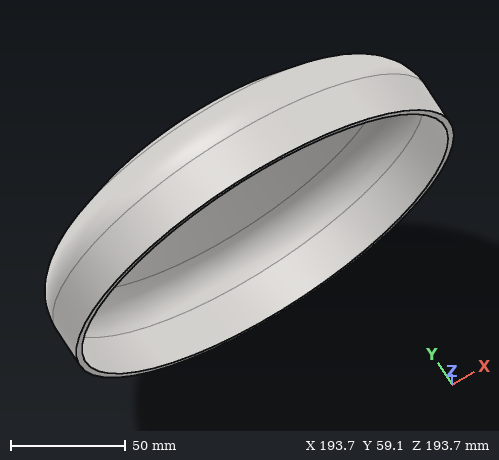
import cadquery as cq
import math

outer_diameter = 193.7
inner_diameter = 187.7
skirt_length = 20.0
crown_inner_radius = 193.7
knuckle_inner_radius = 19.4
rim_y = 0.0

wall = (outer_diameter - inner_diameter) / 2
knuckle_y = rim_y + skirt_length

knuckle_center_x = inner_diameter / 2 - knuckle_inner_radius
tangent_angle = math.asin(knuckle_center_x / (crown_inner_radius - knuckle_inner_radius))
crown_center_y = knuckle_y - knuckle_center_x / math.tan(tangent_angle)


def knuckle_point(radius, angle):
    """Point on a knuckle arc, with the angle measured from the part axis."""
    return (knuckle_center_x + radius * math.sin(angle), knuckle_y + radius * math.cos(angle))


def crown_point(radius, angle):
    """Point on a crown arc, with the angle measured from the part axis."""
    return (radius * math.sin(angle), crown_center_y + radius * math.cos(angle))


knuckle_mid_angle = (math.pi / 2 + tangent_angle) / 2
crown_mid_angle = tangent_angle / 2
knuckle_outer_radius = knuckle_inner_radius + wall
crown_outer_radius = crown_inner_radius + wall

crown_outer_apex = crown_point(crown_outer_radius, 0)
crown_inner_apex = crown_point(crown_inner_radius, 0)

half_section = (
    cq.Workplane("XY")
    .moveTo(inner_diameter / 2, rim_y)
    .lineTo(outer_diameter / 2, rim_y)
    .lineTo(outer_diameter / 2, knuckle_y)
    .threePointArc(
        knuckle_point(knuckle_outer_radius, knuckle_mid_angle),
        knuckle_point(knuckle_outer_radius, tangent_angle),
    )
    .threePointArc(crown_point(crown_outer_radius, crown_mid_angle), crown_outer_apex)
    .lineTo(*crown_inner_apex)
    .threePointArc(
        crown_point(crown_inner_radius, crown_mid_angle),
        crown_point(crown_inner_radius, tangent_angle),
    )
    .threePointArc(
        knuckle_point(knuckle_inner_radius, knuckle_mid_angle),
        (inner_diameter / 2, knuckle_y),
    )
    .close()
)

result = half_section.revolve(360, (0, 0, 0), (0, 1, 0))